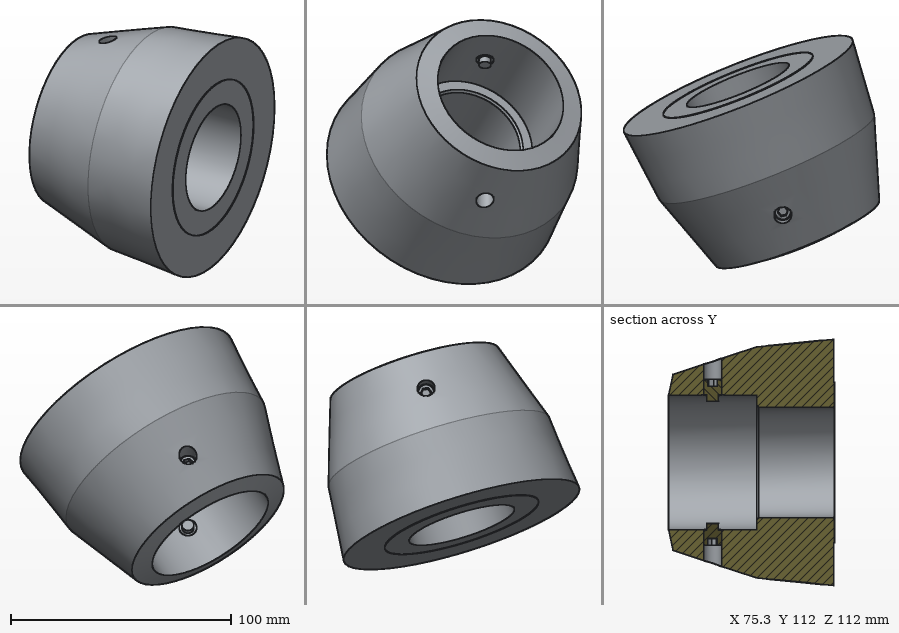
import cadquery as cq
import math

front_rim_x = 2.0
shoulder_x = 40.0
back_rim_x = 75.0
front_rim_radius = 40.0
shoulder_radius = 52.5
back_rim_radius = 56.0
back_boss_radius = 36.5
back_boss_height = 0.3

bore_radius = 30.5
bore_depth = shoulder_x
through_radius = 25.0
through_chamfer = 1.0

screw_count = 2
screw_x = 20.0
screw_diameter = 8.0
screw_length = 10.0
screw_chamfer = 0.5
dog_diameter = 5.5
dog_length = 2.9
dog_end_radius = 27.7
socket_across_flats = 4.0
socket_depth = 3.0
socket_angle = 19

shank_length = screw_length - dog_length
socket_across_corners = socket_across_flats / math.cos(math.radians(30))


def turned_to_place(body, index):
    """Turn a body made along +Z to its place around the X axis."""
    return body.rotate((0, 0, 0), (1, 0, 0), index * 360 / screw_count)


def make_housing():
    """Revolved double-cone housing with a stepped bore and radial screw holes."""
    back_face_x = back_rim_x + back_boss_height
    housing = (
        cq.Workplane("XY")
        .moveTo(0, bore_radius)
        .lineTo(front_rim_x, front_rim_radius)
        .lineTo(shoulder_x, shoulder_radius)
        .lineTo(back_rim_x, back_rim_radius)
        .lineTo(back_rim_x, back_boss_radius)
        .lineTo(back_face_x, back_boss_radius)
        .lineTo(back_face_x, through_radius)
        .lineTo(bore_depth + through_chamfer, through_radius)
        .lineTo(bore_depth, through_radius + through_chamfer)
        .lineTo(bore_depth, bore_radius)
        .close()
        .revolve(360, (0, 0, 0), (1, 0, 0))
    )
    screw_hole = (
        cq.Workplane("XY", origin=(screw_x, 0, 0))
        .circle(screw_diameter / 2)
        .extrude(back_rim_radius)
    )
    for index in range(screw_count):
        housing = housing.cut(turned_to_place(screw_hole, index))
    return housing


def make_set_screw():
    """Set screw along +Z with a dog point at its inner end and a hex socket at its outer end."""
    dog = (
        cq.Workplane("XY", origin=(screw_x, 0, dog_end_radius))
        .circle(dog_diameter / 2)
        .extrude(dog_length)
    )
    shank = (
        cq.Workplane("XY", origin=(screw_x, 0, dog_end_radius + dog_length))
        .circle(screw_diameter / 2)
        .extrude(shank_length)
        .faces(">Z")
        .chamfer(screw_chamfer)
    )
    socket = (
        cq.Workplane("XY", origin=(screw_x, 0, dog_end_radius + screw_length))
        .transformed(rotate=(0, 0, socket_angle))
        .polygon(6, socket_across_corners)
        .extrude(-socket_depth)
    )
    return shank.union(dog).cut(socket)


housing = make_housing()
set_screws = [turned_to_place(make_set_screw(), index) for index in range(screw_count)]

result = cq.Compound.makeCompound([housing.val(), *[screw.val() for screw in set_screws]])